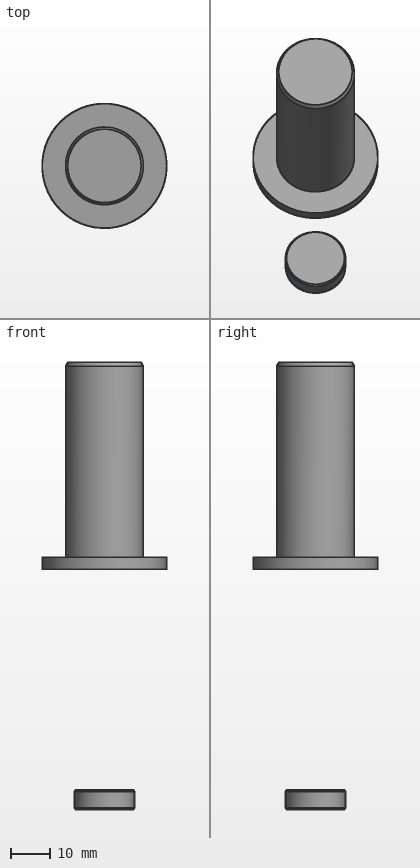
import cadquery as cq

overall_height = 114.5

flange_diameter = 32.0
flange_thickness = 3.1
shank_diameter = 19.9
shank_length = 49.9
shank_chamfer_height = 1.0
shank_chamfer_width = 0.6

disc_diameter = 15.5
disc_thickness = 5.0
disc_chamfer_height = 0.5
disc_chamfer_width = 0.3


def make_headed_pin():
    """Shank standing on a wide flange, its top reaching the overall height."""
    flange_bottom = overall_height - shank_length - flange_thickness
    flange = (
        cq.Workplane("XY", origin=(0, 0, flange_bottom))
        .circle(flange_diameter / 2)
        .extrude(flange_thickness)
    )
    return (
        flange.faces(">Z")
        .workplane()
        .circle(shank_diameter / 2)
        .extrude(shank_length)
        .faces(">Z")
        .chamfer(shank_chamfer_height, shank_chamfer_width)
    )


def make_disc():
    """Flat disc resting on Z = 0, its profile revolved with a steep chamfer on both rims."""
    rim_radius = disc_diameter / 2
    face_radius = rim_radius - disc_chamfer_width
    return (
        cq.Workplane("XZ")
        .moveTo(0, 0)
        .lineTo(face_radius, 0)
        .lineTo(rim_radius, disc_chamfer_height)
        .lineTo(rim_radius, disc_thickness - disc_chamfer_height)
        .lineTo(face_radius, disc_thickness)
        .lineTo(0, disc_thickness)
        .close()
        .revolve(360, (0, 0, 0), (0, 1, 0))
    )


headed_pin = make_headed_pin()
disc = make_disc()

result = cq.Compound.makeCompound([headed_pin.val(), disc.val()])